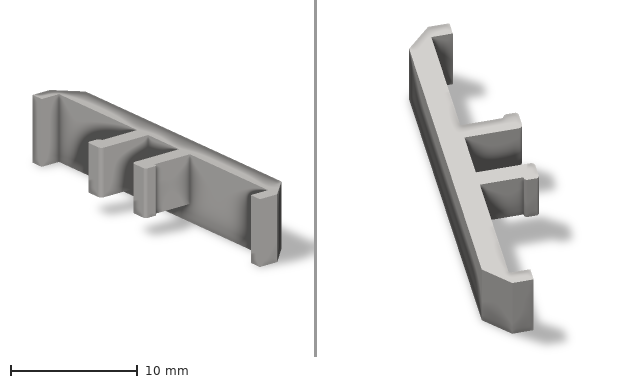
import cadquery as cq

length = 29.0
height = 5.75
depth = 6.75
plate_thickness = 2.0
end_bevel = plate_thickness

lip_width = 1.15
lip_length = 1.75

leg_gap = 3.95
leg_thickness = 1.4
leg_height = 4.2
barb_overhang = 0.35
barb_length = 1.22
barb_radius = 0.25
tip_inner_radius = 0.35

half_length = length / 2
plate_front = -plate_thickness
lip_end = plate_front - lip_length
leg_tip = -depth
leg_bottom = height - leg_height


def make_body():
    """Plate and end lips, extruded over the full height."""
    right_half = [
        (half_length - end_bevel, 0),
        (half_length, plate_front),
        (half_length, lip_end),
        (half_length - lip_width, lip_end),
        (half_length - lip_width, plate_front),
    ]
    left_half = [(-x, y) for x, y in reversed(right_half)]
    return cq.Workplane("XY").polyline(right_half + left_half).close().extrude(height)


def make_right_leg():
    """Leg with a rounded barb on its outer side."""
    inner = leg_gap / 2
    outer = inner + leg_thickness
    barb_outer = outer + barb_overhang
    barb_back = leg_tip + barb_length
    root = plate_front / 2
    leg = (
        cq.Workplane("XY", origin=(0, 0, leg_bottom))
        .moveTo(inner, root)
        .lineTo(outer, root)
        .lineTo(outer, barb_back)
        .lineTo(barb_outer, barb_back)
        .lineTo(barb_outer, leg_tip)
        .lineTo(inner, leg_tip)
        .close()
        .extrude(leg_height)
    )
    leg = leg.edges("|Z").edges(">X").fillet(barb_radius)
    return leg.edges("|Z").edges("<X").edges("<Y").fillet(tip_inner_radius)


right_leg = make_right_leg()
left_leg = right_leg.mirror("YZ")
result = make_body().union(right_leg).union(left_leg)